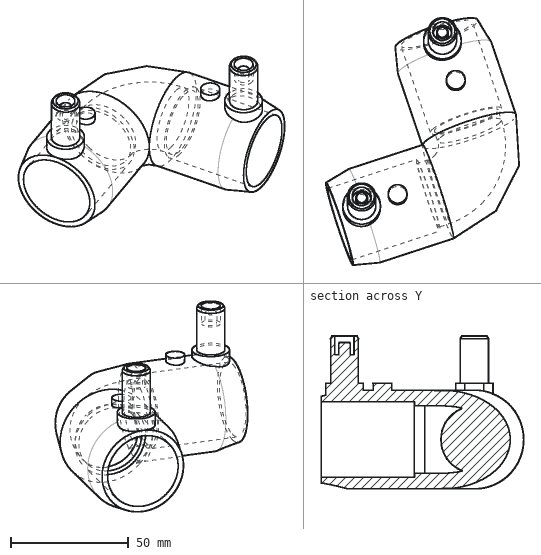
import cadquery as cq

overall = 86.0
body_dia = 42.0
bore_dia = 28.6
socket_dia = 32.0
socket_depth = 39.6
mouth_dia = 37.0
taper_length = 11.0

body_radius = body_dia / 2
leg_length = overall - body_dia
bend_clearance = 0.001

total_height = 65.0
shoulder_height = 44.9
root_height = 37.3
flange_dia = 16.0
post_dia = 12.0
post_chamfer_width = 0.7
post_chamfer_height = 1.2
well_dia = 8.0
contact_dia = 5.0
contact_chamfer = 0.35
well_depth = 8.0
contact_recess = 2.75
indicator_dia = 8.0
indicator_setback = 26.0
x_terminal_setback = 9.9
y_terminal_setback = flange_dia / 2


def cylinder(x, y, bottom, top, diameter):
    return cq.Workplane("XY", origin=(x, y, bottom)).circle(diameter / 2).extrude(top - bottom)


def revolved_legs(profile):
    """Revolve (radius, distance from the bend) points into one leg toward -Y and one toward +X."""
    leg = cq.Workplane("XY").polyline(profile).close().revolve(360, (0, 0, 0), (0, 1, 0))
    y_leg = leg.rotate((0, 0, 0), (0, 0, 1), 180).translate((body_radius, leg_length, body_radius))
    x_leg = leg.rotate((0, 0, 0), (0, 0, 1), -90).translate((body_dia, overall - body_radius, body_radius))
    return y_leg, x_leg


def bend(diameter):
    """Quarter turn about the vertical line through the inside corner of the elbow."""
    return (
        cq.Workplane("XZ", origin=(body_radius, leg_length, body_radius))
        .circle(diameter / 2 - bend_clearance)
        .revolve(90, (body_radius, 0, 0), (body_radius, -1, 0))
    )


def terminal(x, y):
    flange = cylinder(x, y, root_height, shoulder_height, flange_dia)
    post = (
        cylinder(x, y, shoulder_height, total_height, post_dia)
        .faces(">Z")
        .chamfer(post_chamfer_height, post_chamfer_width)
    )
    well_floor = total_height - well_depth
    well = cylinder(x, y, well_floor, total_height, well_dia)
    contact = (
        cylinder(x, y, well_floor, total_height - contact_recess, contact_dia)
        .faces(">Z")
        .chamfer(contact_chamfer)
    )
    return flange.union(post).cut(well).union(contact)


outer_profile = [
    (0, 0),
    (body_radius, 0),
    (body_radius, leg_length - taper_length),
    (mouth_dia / 2, leg_length),
    (0, leg_length),
]
body = bend(body_dia)
for leg in revolved_legs(outer_profile):
    body = body.union(leg)

y_leg_x = body_radius
x_leg_y = overall - body_radius
body = body.union(terminal(y_leg_x, y_terminal_setback))
body = body.union(terminal(overall - x_terminal_setback, x_leg_y))
for x, y in [(y_leg_x, indicator_setback), (overall - indicator_setback, x_leg_y)]:
    body = body.union(cylinder(x, y, root_height, shoulder_height, indicator_dia))

socket_radius = socket_dia / 2
socket_profile = [
    (0, 0),
    (bore_dia / 2, 0),
    (bore_dia / 2, leg_length - socket_depth),
    (socket_radius, leg_length - socket_depth),
    (socket_radius, leg_length),
    (0, leg_length),
]
body = body.cut(bend(bore_dia))
for passage in revolved_legs(socket_profile):
    body = body.cut(passage)

result = body